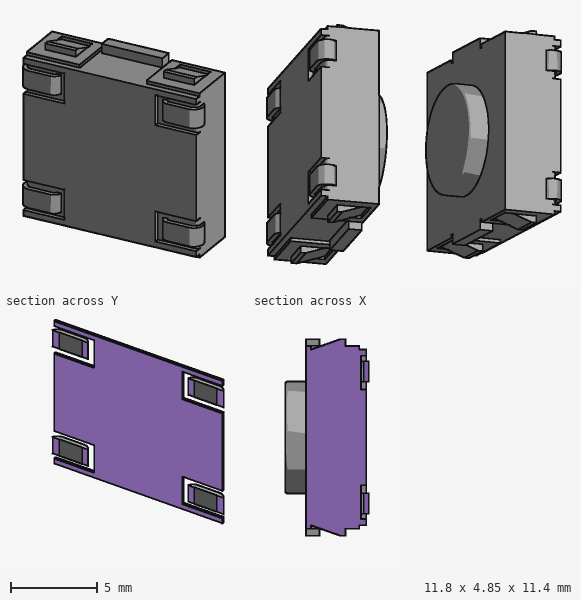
import cadquery as cq
import math


BODY_WIDTH = 11.4
BODY_DEPTH = 3.5
CORE_HEIGHT = 10.2

BUTTON_DIAMETER = 6.5
BUTTON_HEIGHT = 1.2
BUTTON_FILLET = 0.15

PLATE_THICKNESS = 0.2
PLATE_LENGTH = 3.1
PLATE_WIDTH = 3.5

LATCH_X = 3.9
LATCH_WIDTH = 2.0
LATCH_SETBACK = 0.3
LATCH_RAMP_LENGTH = 1.7
LATCH_FLAT_LENGTH = 0.3
LATCH_HEIGHT = 0.6

TAB_WIDTH = 4.0
TAB_LENGTH = 0.8

RECESS_Z = 3.75
RECESS_LENGTH = 2.7
RECESS_HEIGHT = 1.94
RECESS_DEPTH = 0.3
RECESS_EDGE_RADIUS = 0.2

LEAD_Z = 3.82
LEAD_WIDTH = 1.2
LEAD_THICKNESS = 0.3
LEAD_PROTRUSION = 0.15
LEAD_OVERHANG = 0.2
LEAD_BEND_RADIUS = 0.62
LEAD_FLAT_LENGTH = 1.43
HOOK_RADIUS = 0.5

half_width = BODY_WIDTH / 2
half_core = CORE_HEIGHT / 2
lead_face_y = -LEAD_PROTRUSION
diagonal = math.sqrt(0.5)


def box(x_range, y_range, z_range):
    """Axis-aligned box between pairs of limits."""
    size = [high - low for low, high in (x_range, y_range, z_range)]
    corner = (x_range[0], y_range[0], z_range[0])
    return cq.Workplane("XY").box(*size, centered=False).translate(corner)


def mirrored_pair(shape, plane):
    """The shape together with its mirror image."""
    return shape.union(shape.mirror(plane))


def on_four_corners(shape):
    """The shape repeated in all four X/Z quadrants."""
    return mirrored_pair(mirrored_pair(shape, "YZ"), "XY")


def make_core():
    return box((-half_width, half_width), (0, BODY_DEPTH), (-half_core, half_core))


def make_button():
    button = (
        cq.Workplane("XZ", origin=(0, BODY_DEPTH, 0))
        .circle(BUTTON_DIAMETER / 2)
        .extrude(-BUTTON_HEIGHT)
    )
    return button.faces(">Y").edges().fillet(BUTTON_FILLET)


def make_plate():
    """Top plate at -X with a window for its latch."""
    plate_z = (half_core, half_core + PLATE_THICKNESS)
    plate = box(
        (-half_width, -half_width + PLATE_WIDTH),
        (BODY_DEPTH - PLATE_LENGTH, BODY_DEPTH),
        plate_z,
    )
    window_end = BODY_DEPTH - LATCH_SETBACK
    window = box(
        (-LATCH_X - LATCH_WIDTH / 2, -LATCH_X + LATCH_WIDTH / 2),
        (window_end - LATCH_RAMP_LENGTH - LATCH_FLAT_LENGTH, window_end),
        plate_z,
    )
    return plate.cut(window)


def make_latch():
    """Top latch at -X, ramping up from the core surface towards -Y."""
    ramp_start = BODY_DEPTH - LATCH_SETBACK
    ramp_end = ramp_start - LATCH_RAMP_LENGTH
    latch_end = ramp_end - LATCH_FLAT_LENGTH
    latch_top = half_core + LATCH_HEIGHT
    return (
        cq.Workplane("YZ", origin=(-LATCH_X, 0, 0))
        .moveTo(ramp_start, half_core)
        .lineTo(ramp_end, latch_top)
        .lineTo(latch_end, latch_top)
        .lineTo(latch_end, half_core)
        .close()
        .extrude(LATCH_WIDTH / 2, both=True)
    )


def make_tab():
    return box(
        (-TAB_WIDTH / 2, TAB_WIDTH / 2),
        (BODY_DEPTH - TAB_LENGTH, BODY_DEPTH),
        (half_core, half_core + LATCH_HEIGHT),
    )


def make_recess():
    """Recess at -X, +Z whose floor rounds over into the side of the housing."""
    inner_x = -half_width + RECESS_LENGTH
    arc_start_x = -half_width + RECESS_EDGE_RADIUS
    arc_end_y = RECESS_DEPTH + RECESS_EDGE_RADIUS
    arc_middle = (
        arc_start_x - RECESS_EDGE_RADIUS * diagonal,
        arc_end_y - RECESS_EDGE_RADIUS * diagonal,
    )
    return (
        cq.Workplane("XY", origin=(0, 0, RECESS_Z))
        .moveTo(-half_width, 0)
        .lineTo(inner_x, 0)
        .lineTo(inner_x, RECESS_DEPTH)
        .lineTo(arc_start_x, RECESS_DEPTH)
        .threePointArc(arc_middle, (-half_width, arc_end_y))
        .close()
        .extrude(RECESS_HEIGHT / 2, both=True)
    )


def bend_point(center, radius, x_side):
    """Point midway round a quarter bend that faces -Y and the given X side."""
    return (center[0] + x_side * radius * diagonal, center[1] - radius * diagonal)


def make_lead():
    """Lead at -X, +Z: it leaves the side wall, wraps the corner and hooks back to the recess floor."""
    back_y = lead_face_y + LEAD_THICKNESS

    inner_radius = LEAD_BEND_RADIUS - LEAD_THICKNESS
    outer_x = -half_width - LEAD_OVERHANG
    bend_x = outer_x + LEAD_BEND_RADIUS
    bend_y = lead_face_y + LEAD_BEND_RADIUS
    bend = (bend_x, bend_y)
    wall_angle = math.acos((bend_x + half_width) / LEAD_BEND_RADIUS)
    wall_y = bend_y + LEAD_BEND_RADIUS * math.sin(wall_angle)
    wall_middle = (
        bend_x - LEAD_BEND_RADIUS * math.cos(wall_angle / 2),
        bend_y + LEAD_BEND_RADIUS * math.sin(wall_angle / 2),
    )

    hook_inner_radius = HOOK_RADIUS - LEAD_THICKNESS
    hook_x = bend_x + LEAD_FLAT_LENGTH
    hook_y = lead_face_y + HOOK_RADIUS
    hook = (hook_x, hook_y)

    return (
        cq.Workplane("XY", origin=(0, 0, LEAD_Z))
        .moveTo(bend_x - inner_radius, wall_y)
        .lineTo(-half_width, wall_y)
        .threePointArc(wall_middle, (outer_x, bend_y))
        .threePointArc(bend_point(bend, LEAD_BEND_RADIUS, -1), (bend_x, lead_face_y))
        .lineTo(hook_x, lead_face_y)
        .threePointArc(bend_point(hook, HOOK_RADIUS, 1), (hook_x + HOOK_RADIUS, hook_y))
        .lineTo(hook_x + hook_inner_radius, hook_y)
        .threePointArc(bend_point(hook, hook_inner_radius, 1), (hook_x, back_y))
        .lineTo(bend_x, back_y)
        .threePointArc(bend_point(bend, inner_radius, -1), (bend_x - inner_radius, bend_y))
        .close()
        .extrude(LEAD_WIDTH / 2, both=True)
    )


housing = make_core().union(make_button())
housing = housing.union(mirrored_pair(make_tab(), "XY"))
housing = housing.union(on_four_corners(make_plate()))
housing = housing.union(on_four_corners(make_latch()))
housing = housing.cut(on_four_corners(make_recess()))
result = housing.union(on_four_corners(make_lead()))